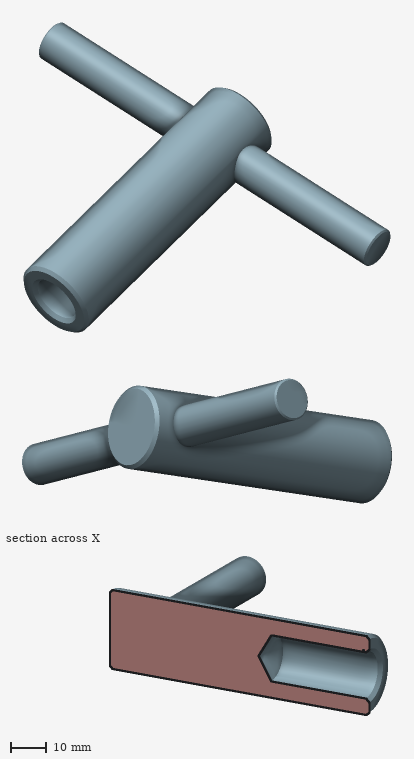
import cadquery as cq
import math

sleeve_diameter = 24
sleeve_length = 85.0
sleeve_chamfer = 1.0

bar_diameter = 12
bar_length = 120
bar_chamfer = 0.5
bar_to_rear_end = 12

hole_diameter = 13.8
hole_depth = 32.0
mouth_diameter = 16.0
drill_point_angle = 118

rear_y = bar_to_rear_end
front_y = rear_y - sleeve_length


def make_sleeve():
    """Cylinder running forward from the rear end, chamfered at both ends."""
    return (
        cq.Workplane("XZ", origin=(0, rear_y, 0))
        .circle(sleeve_diameter / 2)
        .extrude(sleeve_length)
        .edges()
        .chamfer(sleeve_chamfer)
    )


def make_bar():
    """Cylinder centred on the sleeve axis, chamfered at both ends."""
    return (
        cq.Workplane("YZ", origin=(-bar_length / 2, 0, 0))
        .circle(bar_diameter / 2)
        .extrude(bar_length)
        .faces("<X or >X")
        .chamfer(bar_chamfer)
    )


def make_hole():
    """Hole volume, revolved from its half section about the sleeve axis."""
    hole_radius = hole_diameter / 2
    mouth_radius = mouth_diameter / 2
    countersink_depth = mouth_radius - hole_radius
    point_depth = hole_radius / math.tan(math.radians(drill_point_angle / 2))
    bottom_y = front_y + hole_depth
    return (
        cq.Workplane("XY")
        .moveTo(0, front_y)
        .lineTo(mouth_radius, front_y)
        .lineTo(hole_radius, front_y + countersink_depth)
        .lineTo(hole_radius, bottom_y)
        .lineTo(0, bottom_y + point_depth)
        .close()
        .revolve(360, (0, 0, 0), (0, 1, 0))
    )


result = make_sleeve().union(make_bar()).cut(make_hole())